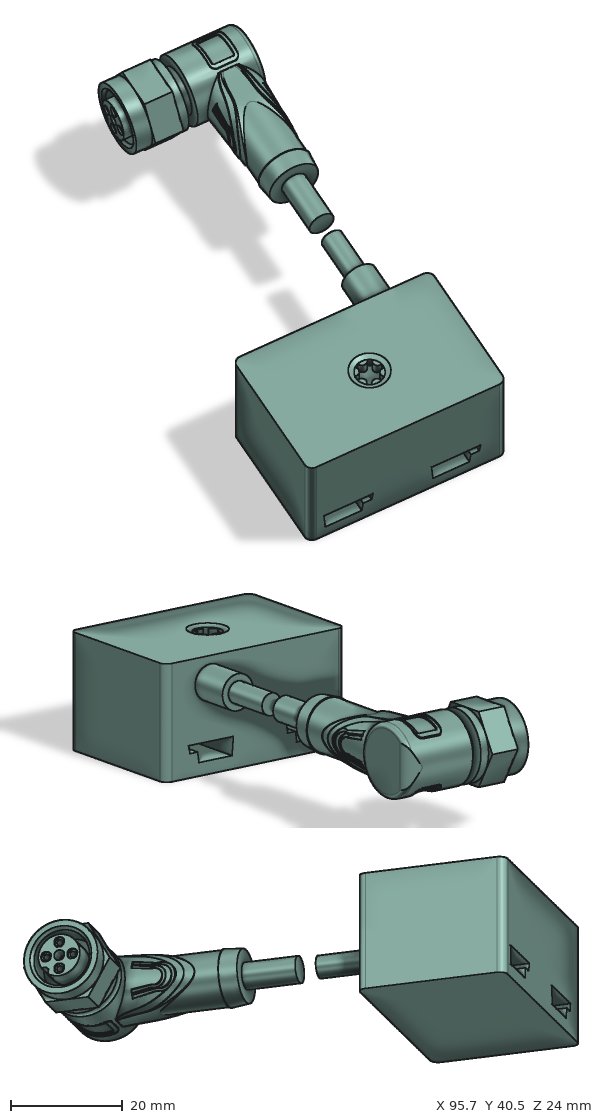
import cadquery as cq
import math


nut_across_flats = 14.1
barrel_radius = nut_across_flats / 2
barrel_back_y = 6.2
barrel_front_y = -8.0
elbow_round = 2.9
barrel_edge_round = 1.0
neck_radius = 4.8
collar_start_y = -9.9
hex_start_y = -11.6
hex_end_y = -17.3
nut_end_y = -20.6
collar_radius = 7.0

bore_radius = 5.3
bore_mouth_radius = 5.8
bore_depth = 5.7
floor_cone_height = 1.4
insert_radius = 3.9
insert_end_y = -21.4
contact_count = 4
contact_circle_radius = 2.5
contact_radius = 1.0
contact_bore_radius = 0.6
contact_depth = 2.9
contact_lead_in_depth = 0.5
key_angle = 225
key_radius = 0.8

leg_radius = 5.2
leg_ring_start_x = 24.4
leg_ring_end_x = 27.85
leg_ring_start_radius = 5.4
leg_ring_end_radius = 5.0
plug_cable_radius = 2.5
plug_cable_end_x = 38.0

cheek_start_x = 3.8
cheek_tip_x = 19.9
cheek_end_x = 21.1
cheek_start_radius = 6.3
cheek_end_radius = 5.4
cheek_start_height = 6.1
cheek_shoulder_x = 12.0
cheek_shoulder_height = 5.1
rim_depth = 0.1
rim_shoulder_setback = 0.5
rim_tip_setback = 1.9

pad_depth = 0.1
pad_start_height = 5.9
pad_shoulder_x = 10.7
pad_shoulder_height = 4.4
pad_tip_x = 16.6
groove_depth = 0.4
grip_start_x = 8.0
grip_tips_and_heights = ((16.3, 3.5), (14.5, 2.7))
groove_width = 0.7
grip_taper = 0.75

label_center_x = -1.1
frame_length = 8.1
frame_width = 5.8
frame_depth = 0.2
label_length = 6.3
label_width = 4.5
label_depth = 0.5
frame_corner = 1.15
label_corner = 0.4

block_length = 27.9
block_width = 40.5
block_height = 22.0
block_corner = 1.5
overall_length = 95.7
overall_height = 24.0
nut_corner_radius = nut_across_flats / 2 / math.cos(math.pi / 6)
block_end_x = overall_length - nut_corner_radius
block_start_x = block_end_x - block_length
block_center_x = block_end_x - block_length / 2
block_center_y = -10.05
block_bottom_z = nut_across_flats / 2 - overall_height
block_top_z = block_bottom_z + block_height
sleeve_radius = 3.4
sleeve_length = 8.0
block_cable_radius = 2.1
block_cable_start_x = 41.7

slot_pitch = 22.0
slot_top_z = -10.9
slot_step_z = -12.4
slot_bottom_z = -14.45
slot_left_y = 4.9
slot_right_y = -5.2
slot_draft = 0.3
slot_step = 1.7

recess_radius = 3.8
socket_radius = 2.8
countersink_depth = 0.5
socket_depth = 1.9
socket_floor_depth = 2.7
lobe_count = 6
lobe_radius = 1.0


def rod_x(radius, start_x, end_x):
    return cq.Workplane("YZ", origin=(start_x, 0, 0)).circle(radius).extrude(end_x - start_x)


def rod_y(radius, start_y, end_y):
    """Cylinder on the plug axis, from start_y down to end_y."""
    return cq.Workplane("XZ", origin=(0, start_y, 0)).circle(radius).extrude(start_y - end_y)


def cone_x(start_x, start_radius, end_x, end_radius):
    outline = [(start_x, 0), (start_x, start_radius), (end_x, end_radius), (end_x, 0)]
    return cq.Workplane("XY").polyline(outline).close().revolve(360, (0, 0, 0), (1, 0, 0))


def make_barrel():
    barrel = rod_y(barrel_radius, barrel_back_y, barrel_front_y)
    envelope = (
        cq.Workplane("XY")
        .box(2 * barrel_radius, barrel_back_y - barrel_front_y, 2 * barrel_radius)
        .translate((0, (barrel_back_y + barrel_front_y) / 2, 0))
        .edges("|Z and <X and >Y")
        .fillet(elbow_round)
    )
    return barrel.faces(">Y").edges().fillet(barrel_edge_round).intersect(envelope)


def cheek_cone(inset):
    return cone_x(cheek_start_x, cheek_start_radius - inset, cheek_end_x, cheek_end_radius - inset)


def leaf_prism(start_height, shoulder_x, shoulder_height, tip_x):
    """Leaf outline in X and Z, symmetric about the cable axis, running through in Y."""
    middle_x = (cheek_start_x + shoulder_x) / 2
    middle_height = (start_height + shoulder_height) / 2
    upper_edge = [(cheek_start_x, start_height), (middle_x, middle_height), (shoulder_x, shoulder_height)]
    lower_edge = [(x, -z) for x, z in reversed(upper_edge)]
    return (
        cq.Workplane("XZ", origin=(0, cheek_start_radius, 0))
        .spline(upper_edge + [(tip_x, 0)] + lower_edge)
        .close()
        .extrude(2 * cheek_start_radius)
    )


def grip_prism(tip_x, half_height):
    """Outline with a blunt rounded tip, symmetric about the cable axis, running through in Y."""
    round_start_x = tip_x - half_height
    round_start_height = grip_taper * half_height
    return (
        cq.Workplane("XZ", origin=(0, cheek_start_radius, 0))
        .moveTo(grip_start_x, half_height)
        .lineTo(round_start_x, round_start_height)
        .threePointArc((tip_x, 0), (round_start_x, -round_start_height))
        .lineTo(grip_start_x, -half_height)
        .close()
        .extrude(2 * cheek_start_radius)
    )


def make_cheeks():
    rim = leaf_prism(cheek_start_height, cheek_shoulder_x, cheek_shoulder_height, cheek_tip_x)
    leaf = leaf_prism(
        cheek_start_height,
        cheek_shoulder_x - rim_shoulder_setback,
        cheek_shoulder_height,
        cheek_tip_x - rim_tip_setback,
    )
    cheeks = cheek_cone(rim_depth).intersect(rim).union(cheek_cone(0).intersect(leaf))
    pad = leaf_prism(pad_start_height, pad_shoulder_x, pad_shoulder_height, pad_tip_x)
    cheeks = cheeks.cut(pad.cut(cheek_cone(pad_depth)))
    for tip_x, half_height in grip_tips_and_heights:
        island = grip_prism(tip_x - groove_width, half_height - groove_width)
        groove = grip_prism(tip_x, half_height).cut(island)
        cheeks = cheeks.cut(groove.cut(cheek_cone(groove_depth)))
    return cheeks


def make_leg():
    ring = cone_x(leg_ring_start_x, leg_ring_start_radius, leg_ring_end_x, leg_ring_end_radius)
    return (
        rod_x(leg_radius, 0, leg_ring_start_x)
        .union(ring)
        .union(rod_x(plug_cable_radius, leg_ring_end_x, plug_cable_end_x))
    )


def label_recess(length, width, corner, depth):
    """Shallow rounded rectangle sunk by an even depth, on both sides of the barrel."""
    core = rod_y(barrel_radius - depth, barrel_back_y, barrel_front_y)
    return (
        cq.Workplane("XY")
        .center(label_center_x, 0)
        .rect(length, width)
        .extrude(barrel_radius, both=True)
        .edges("|Z")
        .fillet(corner)
        .cut(core)
    )


def make_nut():
    hexagon = (
        cq.Workplane("XZ", origin=(0, hex_start_y, 0))
        .polygon(6, 2 * nut_corner_radius)
        .extrude(hex_start_y - hex_end_y)
    )
    return rod_y(collar_radius, collar_start_y, nut_end_y).union(hexagon)


def nut_bore():
    """Ring space between the nut and the insert, with a lead-in chamfer and a conical floor."""
    floor_y = nut_end_y + bore_depth
    mouth_chamfer = bore_mouth_radius - bore_radius
    outline = [
        (insert_radius, floor_y - floor_cone_height),
        (bore_radius, floor_y),
        (bore_radius, nut_end_y + mouth_chamfer),
        (bore_mouth_radius, nut_end_y),
        (insert_radius, nut_end_y),
    ]
    return cq.Workplane("XY").polyline(outline).close().revolve(360, (0, 0, 0), (0, 1, 0))


def cut_contacts(plug):
    face = cq.Workplane("XZ", origin=(0, insert_end_y, 0))
    contacts = face.polarArray(contact_circle_radius, 0, 360, contact_count)
    plug = plug.cut(contacts.circle(contact_radius).extrude(-contact_lead_in_depth))
    plug = plug.cut(contacts.circle(contact_bore_radius).extrude(-contact_depth))
    plug = plug.cut(face.circle(contact_radius).extrude(-contact_depth))
    key_x = insert_radius * math.cos(math.radians(key_angle))
    key_z = insert_radius * math.sin(math.radians(key_angle))
    return plug.cut(face.center(key_x, key_z).circle(key_radius).extrude(-contact_depth))


def make_plug():
    plug = make_barrel().union(make_leg()).union(make_cheeks())
    plug = plug.cut(label_recess(frame_length, frame_width, frame_corner, frame_depth))
    plug = plug.cut(label_recess(label_length, label_width, label_corner, label_depth))
    plug = plug.union(rod_y(neck_radius, barrel_front_y, collar_start_y)).union(make_nut())
    plug = plug.cut(nut_bore()).union(rod_y(insert_radius, nut_end_y, insert_end_y))
    return cut_contacts(plug)


def stepped_slot(offset_y):
    left_y = slot_left_y + offset_y
    right_y = slot_right_y + offset_y
    step_y = left_y - slot_draft - slot_step
    outline = [
        (left_y, slot_top_z),
        (left_y - slot_draft, slot_step_z),
        (step_y, slot_step_z),
        (step_y - slot_draft, slot_bottom_z),
        (right_y + slot_draft, slot_bottom_z),
        (right_y, slot_top_z),
    ]
    return cq.Workplane("YZ", origin=(block_start_x, 0, 0)).polyline(outline).close().extrude(block_length)


def screw_recess():
    """Conical recess with a six-lobed socket at its foot."""
    socket_top_z = block_top_z - countersink_depth
    cone = (
        cq.Workplane("XY", origin=(0, 0, block_top_z))
        .circle(recess_radius)
        .workplane(offset=-countersink_depth)
        .circle(socket_radius)
        .loft()
    )
    socket_outline = [(0, 0), (socket_radius, 0), (socket_radius, -socket_depth), (0, -socket_floor_depth)]
    socket = (
        cq.Workplane("XZ", origin=(0, 0, socket_top_z))
        .polyline(socket_outline)
        .close()
        .revolve(360, (0, 0, 0), (0, 1, 0))
    )
    lobes = (
        cq.Workplane("XY", origin=(0, 0, socket_top_z))
        .polarArray(socket_radius, 0, 360, lobe_count)
        .circle(lobe_radius)
        .extrude(-socket_floor_depth)
    )
    return cone.union(socket.cut(lobes)).translate((block_center_x, block_center_y, 0))


def make_block():
    block = (
        cq.Workplane("XY", origin=(block_center_x, block_center_y, block_bottom_z))
        .rect(block_length, block_width)
        .extrude(block_height)
        .edges("|Z")
        .fillet(block_corner)
    )
    for offset_y in (0, -slot_pitch):
        block = block.cut(stepped_slot(offset_y))
    block = block.cut(screw_recess())
    sleeve_start_x = block_start_x - sleeve_length
    block = block.union(rod_x(sleeve_radius, sleeve_start_x, block_start_x))
    return block.union(rod_x(block_cable_radius, block_cable_start_x, sleeve_start_x))


plug = make_plug()
block = make_block()
result = cq.Compound.makeCompound([plug.val(), block.val()])